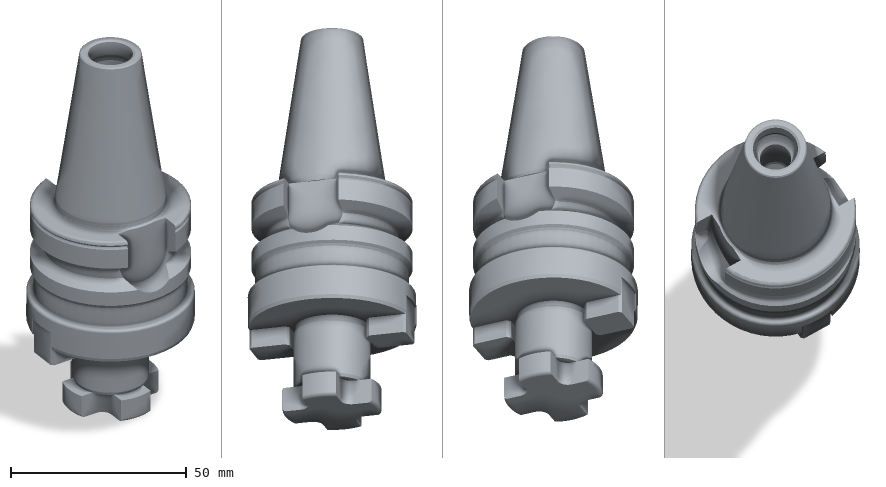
import cadquery as cq

total_height = 114.4
screw_head_top = 7.2
body_bottom = 26.0
body_top = 36.3
lower_flange_bottom = 44.0
grip_groove_bottom = 48.5
grip_groove_top = 56.4
flange_face = 65.0
taper_base = 67.2

arbor_radius = 11.0
arbor_neck_radius = 10.6
body_radius = 24.0
waist_radius = 22.0
flange_radius = 23.0
grip_neck_lower_radius = 19.2
grip_neck_upper_radius = 18.9
taper_base_radius = 15.8
taper_slope = 3.5 / 24
taper_top_radius = taper_base_radius - taper_slope * (total_height - taper_base)

taper_top_break = 0.3
waist_fillet = 0.7
body_top_fillet = 0.8
body_bottom_chamfer_width = 0.3
body_bottom_chamfer_height = 1.0
arbor_end_chamfer_width = 0.3
arbor_end_chamfer_height = 0.9
arbor_neck_length = 1.5
arbor_neck_cone_height = 0.6
lower_flange_chamfer = 0.7
waist_cone_height = 0.7
grip_cone_height = 2.1
grip_neck_break = 0.3
flange_fillet = 1.0
flange_ring_depth = 0.5
flange_ring_width = 1.4
taper_land = 0.7
taper_foot_flare = 0.1
taper_foot_fillet = 0.8

bore_radius = 6.4
bore_chamfer_width = 0.7
bore_chamfer_depth = 0.3
bore_wall_depth = 4.6
relief_radius = 6.9
relief_top_depth = 5.7
relief_bottom_depth = 6.6
seat_top_depth = 6.9
seat_radius = 5.3
seat_depth = 8.0
tapped_radius = 4.5
tapped_start_depth = 8.6
tapped_depth = 22.9
floor_chamfer = 0.5

keyway_width = 16.2
keyway_flat = 16.2
keyway_bottom = 46.6

key_width = 10.1
key_inner = 11.4
key_outer = 23.2
key_bottom = 20.5
key_top = 31.7
key_outer_chamfer = 0.8
key_inner_chamfer = 1.0

screw_head_radius = 14.1
screw_head_fillet = 1.0
prong_width = 10.0
prong_root = 8.0


def turned_body():
    """Arbor, body, grip flange and taper as one revolved profile."""
    arbor_neck_bottom = body_bottom - arbor_neck_length
    waist_top = lower_flange_bottom - lower_flange_chamfer - waist_cone_height
    ring_top = flange_face - flange_fillet
    ring_bottom = ring_top - flange_ring_width
    neck_lower_cone_end = grip_groove_bottom + grip_cone_height
    neck_upper_cone_end = grip_groove_top - grip_cone_height
    foot_radius = taper_base_radius + taper_foot_flare
    profile = (
        cq.Workplane("XZ")
        .moveTo(0, screw_head_top)
        .lineTo(arbor_radius - arbor_end_chamfer_width, screw_head_top)
        .lineTo(arbor_radius, screw_head_top + arbor_end_chamfer_height)
        .lineTo(arbor_radius, arbor_neck_bottom - arbor_neck_cone_height)
        .lineTo(arbor_neck_radius, arbor_neck_bottom)
        .lineTo(arbor_neck_radius, body_bottom)
        .lineTo(body_radius - body_bottom_chamfer_width, body_bottom)
        .lineTo(body_radius, body_bottom + body_bottom_chamfer_height)
        .lineTo(body_radius, body_top - body_top_fillet)
        .radiusArc((body_radius - body_top_fillet, body_top), -body_top_fillet)
        .lineTo(waist_radius + waist_fillet, body_top)
        .radiusArc((waist_radius, body_top + waist_fillet), waist_fillet)
        .lineTo(waist_radius, waist_top)
        .lineTo(flange_radius - lower_flange_chamfer, waist_top + waist_cone_height)
        .lineTo(flange_radius, lower_flange_bottom)
        .lineTo(flange_radius, grip_groove_bottom)
        .lineTo(grip_neck_lower_radius + grip_neck_break, neck_lower_cone_end)
        .lineTo(grip_neck_lower_radius, neck_lower_cone_end + grip_neck_break)
        .lineTo(grip_neck_upper_radius, neck_upper_cone_end - grip_neck_break)
        .lineTo(grip_neck_upper_radius + grip_neck_break, neck_upper_cone_end)
        .lineTo(flange_radius, grip_groove_top)
        .lineTo(flange_radius, ring_bottom)
        .lineTo(flange_radius - flange_ring_depth, (ring_bottom + ring_top) / 2)
        .lineTo(flange_radius, ring_top)
        .radiusArc((flange_radius - flange_fillet, flange_face), -flange_fillet)
        .lineTo(foot_radius + taper_foot_fillet, flange_face)
        .radiusArc((foot_radius, flange_face + taper_foot_fillet), taper_foot_fillet)
        .lineTo(taper_base_radius, taper_base - taper_land)
        .lineTo(taper_base_radius, taper_base)
        .lineTo(taper_top_radius, total_height - taper_top_break)
        .lineTo(taper_top_radius - taper_top_break, total_height)
        .lineTo(0, total_height)
        .close()
    )
    return profile.revolve(360, (0, 0, 0), (0, 1, 0))


def stud_bore():
    """Blind bore for the pull stud: wall, undercut relief, conical seat and tapped hole."""
    profile = (
        cq.Workplane("XZ")
        .moveTo(0, total_height)
        .lineTo(bore_radius + bore_chamfer_width, total_height)
        .lineTo(bore_radius, total_height - bore_chamfer_depth)
        .lineTo(bore_radius, total_height - bore_wall_depth)
        .lineTo(relief_radius, total_height - relief_top_depth)
        .lineTo(relief_radius, total_height - relief_bottom_depth)
        .lineTo(bore_radius, total_height - seat_top_depth)
        .lineTo(seat_radius, total_height - seat_depth)
        .lineTo(tapped_radius, total_height - tapped_start_depth)
        .lineTo(tapped_radius, total_height - tapped_depth + floor_chamfer)
        .lineTo(tapped_radius - floor_chamfer, total_height - tapped_depth)
        .lineTo(0, total_height - tapped_depth)
        .close()
    )
    return profile.revolve(360, (0, 0, 0), (0, 1, 0))


def keyway(side):
    """Round-bottomed keyway; side is +1 or -1 along X."""
    half_width = keyway_width / 2
    arc_center = keyway_bottom + half_width
    return (
        cq.Workplane("YZ", origin=(side * keyway_flat, 0, 0))
        .moveTo(-half_width, flange_face)
        .lineTo(-half_width, arc_center)
        .threePointArc((0, keyway_bottom), (half_width, arc_center))
        .lineTo(half_width, flange_face)
        .close()
        .extrude(side * (body_radius - keyway_flat))
    )


def key_block(inner, outer, side):
    """Plain block as wide and tall as a drive key, between two Y distances."""
    return cq.Workplane("XY", origin=(0, side * (inner + outer) / 2, key_bottom)).box(
        key_width, outer - inner, key_top - key_bottom, centered=(True, True, False)
    )


def drive_key(side):
    """Drive key with chamfered upright edges; side is +1 or -1 along Y."""
    outer_face, inner_face = (">Y", "<Y") if side > 0 else ("<Y", ">Y")
    return (
        key_block(key_inner, key_outer, side)
        .faces(outer_face)
        .edges("|Z")
        .chamfer(key_outer_chamfer)
        .faces(inner_face)
        .edges("|Z")
        .chamfer(key_inner_chamfer)
    )


def screw_head():
    """Four-pronged screw head with rounded corners between the prongs."""
    disc = (
        cq.Workplane("XY")
        .circle(screw_head_radius)
        .extrude(screw_head_top)
        .faces("<Z")
        .edges()
        .fillet(screw_head_fillet)
    )
    span = 2 * screw_head_radius
    bar = cq.Workplane("XY").rect(span, prong_width).extrude(screw_head_top)
    cross = bar.union(bar.rotate((0, 0, 0), (0, 0, 1), 90))
    corner = prong_width / 2
    inner_corners = cq.selectors.BoxSelector(
        (-prong_root, -prong_root, 0), (prong_root, prong_root, screw_head_top)
    )
    cross = cross.edges("|Z").edges(inner_corners).fillet(prong_root - corner)
    return disc.intersect(cross)


key_seat_floor = key_outer - key_outer_chamfer

result = turned_body().cut(stud_bore()).union(screw_head())
for side in (1, -1):
    result = result.cut(keyway(side))
    result = result.cut(key_block(key_seat_floor, body_radius, side))
    result = result.union(drive_key(side))